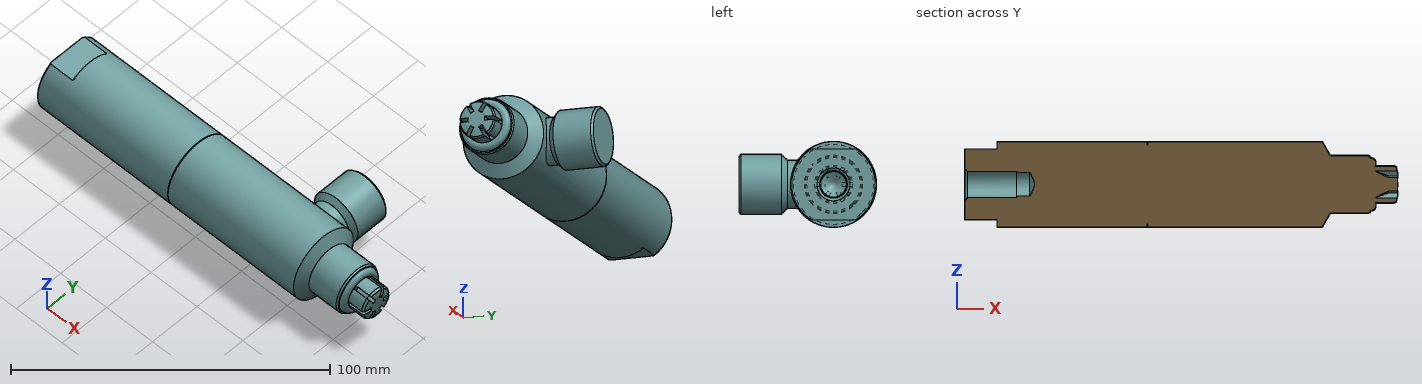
import cadquery as cq
import math

total_length = 135.6
total_depth = 43.1

body_diameter = 27.0
body_radius = body_diameter / 2
body_end_chamfer = 0.4
shoulder_start = 112.0
shoulder_angle = 60.0

groove_position = 57.2
groove_width = 0.3
groove_diameter = 25.1

flat_length = 10.0
flat_half_height = 11.1

drill_diameter = 8.0
drill_depth = 20.3
bore_diameter = 8.7
bore_depth = 16.3
bore_mouth_diameter = 10.3
drill_point_angle = 118.0

neck_radius = 18.3 / 2
neck_taper_start = 126.4
neck_taper_end = 127.0
neck_taper_end_radius = 8.8
ring_outer_radius = 8.4
ring_end = 128.8
ring_section_radius = 1.6

collet_radius = 11.9 / 2
collet_chamfer_start = 134.4
collet_chamfer_end = 135.2
collet_end_radius = 11.1 / 2
tip_radius = 3.7
slot_count = 6
slot_width = 1.2
slot_floor_radius = 2.7
slot_ramp_start_radius = 4.3
slot_ramp_end = 132.7
slot_top_radius = 6.2

ring_center_position = ring_end - ring_section_radius
ring_center_height = ring_outer_radius - ring_section_radius
ring_start_radius = ring_center_height + math.sqrt(
    ring_section_radius ** 2 - (ring_center_position - neck_taper_end) ** 2
)
collet_start = ring_center_position + math.sqrt(
    ring_section_radius ** 2 - (ring_center_height - collet_radius) ** 2
)

connector_position = 101.7
connector_end = total_depth - body_radius
cap_radius = 19.0 / 2
cap_length = 13.3
cap_chamfer = 0.7
connector_neck_radius = 15.2 / 2
cap_cone_length = cap_radius - connector_neck_radius


def make_turned_body():
    """Barrel, neck, ring and collet as one profile turned about X."""
    shoulder_end = shoulder_start + (body_radius - neck_radius) / math.tan(math.radians(shoulder_angle))
    ring_middle = (
        ring_center_position + ring_section_radius * math.cos(math.pi / 4),
        ring_center_height + ring_section_radius * math.sin(math.pi / 4),
    )
    profile = (
        cq.Workplane("XY")
        .lineTo(0, body_radius - body_end_chamfer)
        .lineTo(body_end_chamfer, body_radius)
        .lineTo(shoulder_start, body_radius)
        .lineTo(shoulder_end, neck_radius)
        .lineTo(neck_taper_start, neck_radius)
        .lineTo(neck_taper_end, neck_taper_end_radius)
        .lineTo(neck_taper_end, ring_start_radius)
        .threePointArc(ring_middle, (collet_start, collet_radius))
        .lineTo(collet_chamfer_start, collet_radius)
        .lineTo(collet_chamfer_end, collet_end_radius)
        .lineTo(total_length, tip_radius)
        .lineTo(total_length, 0)
        .close()
    )
    return profile.revolve(360, (0, 0, 0), (1, 0, 0))


def make_joint_groove():
    """Ring that cuts the narrow groove at the barrel joint."""
    return (
        cq.Workplane("YZ", origin=(groove_position - groove_width / 2, 0, 0))
        .circle(body_diameter)
        .circle(groove_diameter / 2)
        .extrude(groove_width)
    )


def make_flat_cutter(side):
    """Block that cuts one wrench flat; side is +1 for top, -1 for bottom."""
    return (
        cq.Workplane("XY", origin=(0, 0, side * (flat_half_height + body_radius / 2)))
        .box(2 * flat_length, 2 * body_diameter, body_radius)
    )


def make_bore():
    """Blind bore with a 45 degree mouth, a small step and a conical bottom."""
    drill_radius = drill_diameter / 2
    bore_radius = bore_diameter / 2
    mouth_radius = bore_mouth_diameter / 2
    point_length = drill_radius / math.tan(math.radians(drill_point_angle / 2))
    return (
        cq.Workplane("XY")
        .lineTo(0, mouth_radius)
        .lineTo(mouth_radius - bore_radius, bore_radius)
        .lineTo(bore_depth, bore_radius)
        .lineTo(bore_depth, drill_radius)
        .lineTo(drill_depth, drill_radius)
        .lineTo(drill_depth + point_length, 0)
        .close()
        .revolve(360, (0, 0, 0), (1, 0, 0))
    )


def make_collet_slot(angle):
    """Slot whose floor ramps up towards the neck, placed at an angle about X."""
    return (
        cq.Workplane("XZ")
        .moveTo(ring_end, slot_ramp_start_radius)
        .lineTo(slot_ramp_end, slot_floor_radius)
        .lineTo(total_length, slot_floor_radius)
        .lineTo(total_length, slot_top_radius)
        .lineTo(ring_end, slot_top_radius)
        .close()
        .extrude(slot_width / 2, both=True)
        .rotate((0, 0, 0), (1, 0, 0), angle)
    )


def make_side_connector():
    """Capped connector turned about its own axis along Y."""
    cap_base = connector_end - cap_length
    cone_base = cap_base - cap_cone_length
    return (
        cq.Workplane("XY", origin=(connector_position, 0, 0))
        .lineTo(connector_neck_radius, 0)
        .lineTo(connector_neck_radius, cone_base)
        .lineTo(cap_radius, cap_base)
        .lineTo(cap_radius, connector_end - cap_chamfer)
        .lineTo(cap_radius - cap_chamfer, connector_end)
        .lineTo(0, connector_end)
        .close()
        .revolve(360, (0, 0, 0), (0, 1, 0))
    )


result = (
    make_turned_body()
    .cut(make_joint_groove())
    .cut(make_flat_cutter(1))
    .cut(make_flat_cutter(-1))
    .cut(make_bore())
    .union(make_side_connector())
)
for slot_index in range(slot_count):
    slot_angle = 90 + slot_index * 360 / slot_count
    result = result.cut(make_collet_slot(slot_angle))